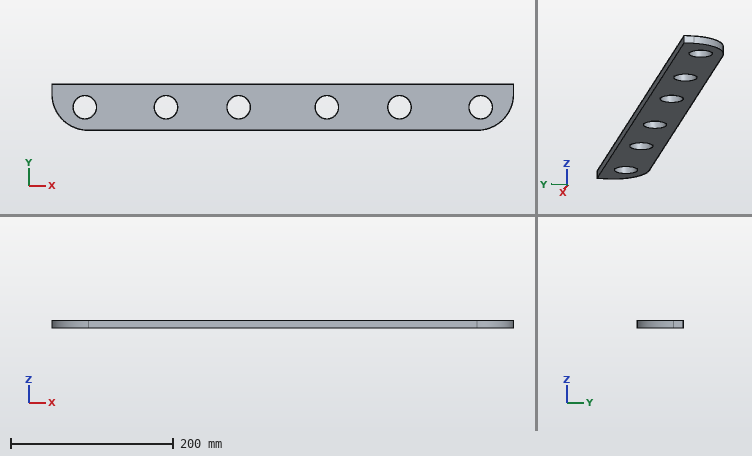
import cadquery as cq

INCH = 25.4

length = 22.4 * INCH
width = 2.25 * INCH
thickness = 0.375 * INCH
corner_radius = 45.0
hole_diameter = 1.125 * INCH

end_to_outer_hole = 1.6 * INCH
outer_to_middle_hole = 100.0
middle_to_inner_hole = 89.5


def bar_blank():
    """Flat bar with its two front (-Y) corners rounded."""
    return (
        cq.Workplane("XY")
        .box(length, width, thickness)
        .edges("|Z and <Y")
        .fillet(corner_radius)
    )


def hole_centers():
    """Hole positions on the bar's long centerline, mirrored about its middle."""
    outer_hole_offset = length / 2 - end_to_outer_hole
    middle_hole_offset = outer_hole_offset - outer_to_middle_hole
    inner_hole_offset = middle_hole_offset - middle_to_inner_hole
    offsets = (inner_hole_offset, middle_hole_offset, outer_hole_offset)
    return [(side * offset, 0) for offset in offsets for side in (-1, 1)]


def drill_holes(bar):
    """Plain through holes along the bar."""
    return bar.faces(">Z").workplane().pushPoints(hole_centers()).hole(hole_diameter)


result = drill_holes(bar_blank())